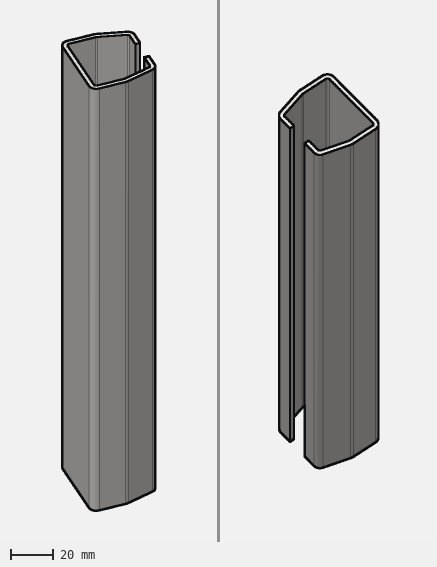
import cadquery as cq
import math

length = 250.0
width = 40.0
depth = 35.0
wall = 2.5
slot_width = 11.0
front_width = 30.5
bend_height = 18.0
slot_cut_depth = 3 * wall
base_radius = 3.8
lip_radius = 3.5
side_radius = 6.2

lean = math.atan2((width - front_width) / 2, depth - bend_height)
inner_bend_height = bend_height - wall * math.tan(lean / 2)
inner_lip_offset = wall * math.tan(math.pi / 4 - lean / 2)


def bent_prism(half_base, half_top, bend, top, bottom, radii):
    """Six-sided prism along Z with rounded base, side and top edges."""
    base_r, side_r, lip_r = radii
    prism = (
        cq.Workplane("XY")
        .polyline([
            (-half_base, bottom),
            (half_base, bottom),
            (half_base, bend),
            (half_top, top),
            (-half_top, top),
            (-half_base, bend),
        ])
        .close()
        .extrude(length)
    )
    margin = wall / 2

    def edges_between(low, high):
        return cq.selectors.BoxSelector((-width, low, 0), (width, high, length))

    for height, radius in ((bottom, base_r), (bend, side_r), (top, lip_r)):
        prism = prism.edges("|Z").edges(edges_between(height - margin, height + margin)).fillet(radius)
    return prism


outer = bent_prism(
    width / 2, front_width / 2, bend_height, depth, 0,
    (base_radius, side_radius, lip_radius),
)
inner = bent_prism(
    width / 2 - wall, front_width / 2 - inner_lip_offset, inner_bend_height, depth - wall, wall,
    (base_radius - wall, side_radius - wall, lip_radius - wall),
)

slot = (
    cq.Workplane("XY")
    .center(0, depth - wall)
    .rect(slot_width, slot_cut_depth)
    .extrude(length)
)

result = outer.cut(inner).cut(slot).translate((0, -depth / 2, -length / 2))